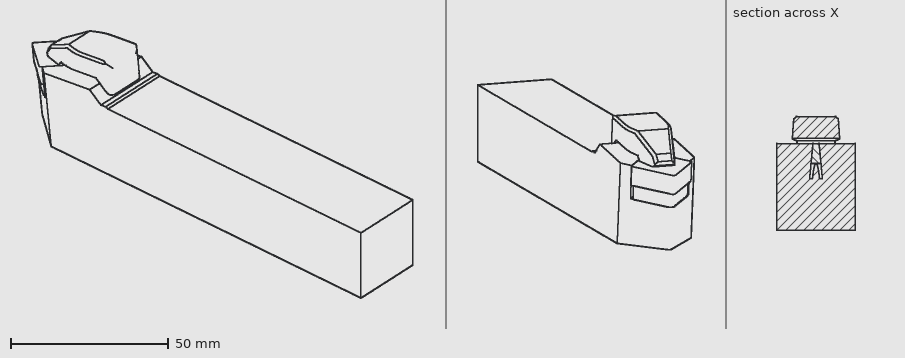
import cadquery as cq
import math

TOOL_LENGTH = 149.56
SHANK_WIDTH = 25.0
SHANK_HEIGHT = 25.0
HEAD_TILT = 6.5

HALF_ANGLE = math.radians(40.0)
INSERT_CIRCLE = 15.875
INSERT_THICKNESS = 6.35
INSERT_CORNER_RADIUS = 0.8
SHIM_THICKNESS = 4.76
SHIM_CORNER_RADIUS = 1.6
SHIM_SETBACK = 0.88
HEAD_SETBACK = 1.34
HEAD_CORNER_RADIUS = 0.8

RAMP_START = 35.2
RAMP_DROP = 4.3
GROOVE_FLOOR_LENGTH = 2.0
GROOVE_END_X = 42.7

CLAMP_HALF_WIDTH = 7.65
CLAMP_HEIGHT = 8.53
CLAMP_REAR = 39.6
CLAMP_BOTTOM = -3.6
CLAMP_TOP_START = 20.8
CLAMP_TOP_RADIUS = 3.0
CLAMP_REAR_RADIUS = 2.4
CLAMP_EDGE_CHAMFER = 0.8
UPWARD_LIMIT = 0.5
CLAMP_GAP = 1.5
FOOT_FRONT = 9.2
FOOT_CHAMFER = 0.5
FOOT_REAR = 16.15
NOSE_FRONT = 8.9
NOSE_LOW = 1.9
NOSE_BEVEL_REAR = 10.6
NOSE_HIGH = 3.85
TAPER_ANGLE = math.radians(19.0)
TAPER_END = 21.1
TAPER_LEAN = 0.54
TAPER_BLEND_RADIUS = 18.0

TILT = math.radians(HEAD_TILT)
HALF_DIAGONAL = INSERT_CIRCLE / 2 / math.sin(HALF_ANGLE)
SHARP_TIP = -INSERT_CORNER_RADIUS * (1 / math.sin(HALF_ANGLE) - 1)
SEAT_CENTRE = SHARP_TIP + HALF_DIAGONAL
SEAT_DEPTH = INSERT_THICKNESS + SHIM_THICKNESS
OVERSIZE = 60.0


def tilt_head(shape):
    """Move a shape from head coordinates to its place on the tool."""
    return shape.rotate((0, 0, 0), (0, 1, 0), -HEAD_TILT).translate((0, 0, SHANK_HEIGHT))


def head_point(u, w):
    """X and Z of a point given in head coordinates."""
    x = u * math.cos(TILT) - w * math.sin(TILT)
    z = SHANK_HEIGHT + u * math.sin(TILT) + w * math.cos(TILT)
    return (x, z)


def rhombus(half_diagonal, bottom, thickness):
    """Sharp rhombic plate centred on the insert seat."""
    half_width = half_diagonal * math.tan(HALF_ANGLE)
    return (
        cq.Workplane("XY", origin=(SEAT_CENTRE, 0, bottom))
        .polyline([(-half_diagonal, 0), (0, -half_width), (half_diagonal, 0), (0, half_width)])
        .close()
        .extrude(thickness)
    )


def make_insert():
    plate = rhombus(HALF_DIAGONAL, -INSERT_THICKNESS, INSERT_THICKNESS)
    return tilt_head(plate.edges("|Z").fillet(INSERT_CORNER_RADIUS))


def make_shim():
    plate = rhombus(HALF_DIAGONAL - SHIM_SETBACK, -SEAT_DEPTH, SHIM_THICKNESS)
    return tilt_head(plate.edges("|Z").fillet(SHIM_CORNER_RADIUS))


def make_shank():
    """Shank and head with the pointed flanks and the open insert seat."""
    groove_start = RAMP_START + RAMP_DROP
    side = (
        cq.Workplane("XZ")
        .polyline([
            (-OVERSIZE, 0),
            (TOOL_LENGTH, 0),
            (TOOL_LENGTH, SHANK_HEIGHT),
            (GROOVE_END_X, SHANK_HEIGHT),
            head_point(groove_start + GROOVE_FLOOR_LENGTH, -RAMP_DROP),
            head_point(groove_start, -RAMP_DROP),
            head_point(RAMP_START, 0),
            head_point(-OVERSIZE, 0),
        ])
        .close()
        .extrude(SHANK_WIDTH / 2, both=True)
    )
    tip = SHARP_TIP + HEAD_SETBACK
    flank_end = tip + SHANK_WIDTH / 2 / math.tan(HALF_ANGLE)
    far_end = TOOL_LENGTH + OVERSIZE
    flanks = (
        cq.Workplane("XY", origin=(0, 0, -OVERSIZE))
        .polyline([
            (tip, 0),
            (flank_end, -SHANK_WIDTH / 2),
            (far_end, -SHANK_WIDTH / 2),
            (far_end, SHANK_WIDTH / 2),
            (flank_end, SHANK_WIDTH / 2),
        ])
        .close()
        .extrude(2 * OVERSIZE)
        .edges("|Z and <X")
        .fillet(HEAD_CORNER_RADIUS)
    )
    seat = rhombus(HALF_DIAGONAL, -SEAT_DEPTH, SEAT_DEPTH + OVERSIZE)
    return side.intersect(tilt_head(flanks)).cut(tilt_head(seat))


def clamp_block():
    """Full-width clamp block, its rear leg lying on the holder ramp."""
    return (
        cq.Workplane("XZ")
        .polyline([
            (FOOT_FRONT + FOOT_CHAMFER, 0),
            (FOOT_FRONT, FOOT_CHAMFER),
            (NOSE_FRONT, NOSE_LOW),
            (NOSE_BEVEL_REAR, NOSE_HIGH),
            (CLAMP_TOP_START, CLAMP_HEIGHT),
            (CLAMP_REAR, CLAMP_HEIGHT),
            (CLAMP_REAR, CLAMP_BOTTOM),
            (RAMP_START - CLAMP_BOTTOM, CLAMP_BOTTOM),
            (RAMP_START - CLAMP_GAP, CLAMP_GAP),
            (FOOT_REAR + CLAMP_GAP, CLAMP_GAP),
            (FOOT_REAR, 0),
        ])
        .close()
        .extrude(CLAMP_HALF_WIDTH, both=True)
    )


def clamp_rear_rounding():
    """Envelope that rounds the upper and the upright edges at the clamp's rear."""
    envelope = (
        cq.Workplane("XY", origin=(0, 0, CLAMP_BOTTOM))
        .rect(2 * CLAMP_REAR, 2 * CLAMP_HALF_WIDTH)
        .extrude(CLAMP_HEIGHT - CLAMP_BOTTOM)
    )
    top_rounded = envelope.edges(">X and >Z").fillet(CLAMP_TOP_RADIUS)
    corners_rounded = envelope.edges("|Z and >X").fillet(CLAMP_REAR_RADIUS)
    return top_rounded.intersect(corners_rounded)


def clamp_taper():
    """Prism narrowing to the nose; it leans back so its flanks are drafted."""
    height = CLAMP_HEIGHT - CLAMP_BOTTOM
    shift = TAPER_END + TAPER_LEAN * CLAMP_BOTTOM
    reach = CLAMP_HALF_WIDTH / math.tan(TAPER_ANGLE)
    tangent = TAPER_BLEND_RADIUS * math.tan(TAPER_ANGLE / 2)
    start = (
        shift - tangent * math.cos(TAPER_ANGLE),
        CLAMP_HALF_WIDTH - tangent * math.sin(TAPER_ANGLE),
    )
    middle = (
        shift + tangent - TAPER_BLEND_RADIUS * math.sin(TAPER_ANGLE / 2),
        CLAMP_HALF_WIDTH - TAPER_BLEND_RADIUS * (1 - math.cos(TAPER_ANGLE / 2)),
    )
    end = (shift + tangent, CLAMP_HALF_WIDTH)
    outline = (
        cq.Workplane("XY", origin=(0, 0, CLAMP_BOTTOM))
        .moveTo(shift - reach, 0)
        .lineTo(*start)
        .threePointArc(middle, end)
        .lineTo(OVERSIZE, CLAMP_HALF_WIDTH)
        .lineTo(OVERSIZE, -CLAMP_HALF_WIDTH)
        .lineTo(end[0], -end[1])
        .threePointArc((middle[0], -middle[1]), (start[0], -start[1]))
        .close()
    )
    direction = cq.Vector(TAPER_LEAN * height, 0, height)
    return cq.Workplane(cq.Solid.extrudeLinear(outline.val(), [], direction))


def upper_side_edges(body):
    """Edges where the upward faces of the clamp meet its two sides."""
    upward_faces = [face for face in body.faces().vals() if face.normalAt().z > UPWARD_LIMIT]
    edges = cq.Workplane().newObject(upward_faces).edges().vals()
    return [edge for edge in edges if edge.startPoint().y * edge.endPoint().y > 0]


def make_clamp():
    body = clamp_block().intersect(clamp_taper())
    body = body.newObject(upper_side_edges(body)).chamfer(CLAMP_EDGE_CHAMFER)
    return tilt_head(body.intersect(clamp_rear_rounding()))


insert = make_insert()
holder = make_shank().union(make_shim()).union(make_clamp())

result = cq.Compound.makeCompound([holder.val(), insert.val()])